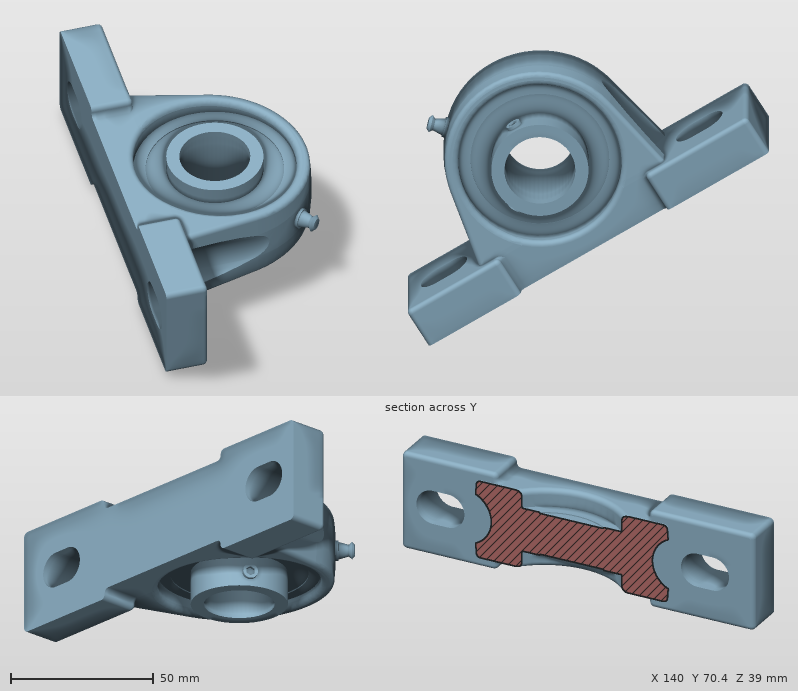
import cadquery as cq
import math

shaft_height = 36.5
total_height = 70.4

base_left = -72.0
base_right = 68.0
base_thickness = 15.1
base_depth = 38.0
pad_inner_x = 30.1
base_corner_radius = 1.8
base_top_fillet = 1.7
slot_spacing = 105.0
slot_length = 19.0
slot_width = 13.0

dome_radius = total_height - shaft_height
flank_half_width = 38.8
housing_foot_depth = 30.4
housing_crown_depth = 23.2
straight_band_depth = 10.5
housing_draft = 4.5
bend_reach = 1.0
rim_fillet = 1.7

scoop_radius = 10.5
scoop_floor_x = 32.0

bore_radius = 12.5
inner_ring_radius = 17.1
inner_ring_top = 14.4
inner_ring_bottom = -20.0
seal_radius = 24.4
seal_recess = 0.4
seat_radius = 28.7
seat_mouth_fillet = 2.0
bearing_half_width = 8.5

screw_radius = 2.7
screw_reach = 18.3
screw_z = -14.8
screw_angles = (90, -30)
socket_width = 3.0
socket_depth = 2.1

nipple_angle = 46
nipple_collar_radius = 3.6
nipple_collar_top = 34.9
nipple_cone_radius = 3.1
nipple_neck_top = 38.5
nipple_neck_radius = 2.1
nipple_head_middle = 39.6
nipple_head_radius = 3.1
nipple_tip = 40.6


def make_base():
    """Base bar with a full-depth pad at each end and a narrower middle."""
    half_pad = base_depth / 2
    half_neck = housing_foot_depth / 2
    upper = [
        (base_right, half_pad),
        (pad_inner_x, half_pad),
        (pad_inner_x, half_neck),
        (-pad_inner_x, half_neck),
        (-pad_inner_x, half_pad),
        (base_left, half_pad),
    ]
    lower = [(x, -z) for x, z in reversed(upper)]
    bar = cq.Workplane("XZ").polyline(upper + lower).close().extrude(-base_thickness)
    bar = bar.edges("|Y").fillet(base_corner_radius)
    return bar.faces(">Y").edges().fillet(base_top_fillet)


def make_housing():
    """Domed housing with leaning flanks and faces, without the bearing seat."""
    drop = shaft_height - base_thickness
    reach = math.hypot(flank_half_width, drop)
    lean = math.acos(dome_radius / reach) - math.atan2(drop, flank_half_width)
    tangent_x = dome_radius * math.cos(lean)
    tangent_y = shaft_height + dome_radius * math.sin(lean)
    foot_y = -base_depth / 2 * math.tan(math.radians(housing_draft))
    foot_x = tangent_x + (tangent_y - foot_y) * math.tan(lean)

    def half_body(direction):
        def outline(z):
            return (
                cq.Workplane("XY", origin=(0, 0, z))
                .moveTo(-foot_x, foot_y)
                .lineTo(foot_x, foot_y)
                .lineTo(tangent_x, tangent_y)
                .threePointArc((0, total_height), (-tangent_x, tangent_y))
                .close()
            )

        band = straight_band_depth / 2
        straight = outline(0).extrude(direction * band)
        drafted = outline(direction * band).extrude(direction * base_depth / 2, taper=housing_draft)
        return straight.union(drafted)

    body = half_body(1).union(half_body(-1))
    half_foot = housing_foot_depth / 2
    half_crown = housing_crown_depth / 2
    slope = math.atan2(half_foot - half_crown, total_height - base_thickness)
    bend_start_y = base_thickness - bend_reach
    bend_end_y = base_thickness + bend_reach * math.cos(slope)
    bend_end_z = half_foot - bend_reach * math.sin(slope)
    wedge = (
        cq.Workplane("YZ")
        .moveTo(0, half_foot)
        .lineTo(bend_start_y, half_foot)
        .tangentArcPoint((bend_end_y, bend_end_z), relative=False)
        .lineTo(total_height, half_crown)
        .lineTo(total_height, 0)
        .lineTo(0, 0)
        .close()
        .extrude(foot_x, both=True)
    )
    body = body.intersect(wedge.union(wedge.mirror("XY")))

    rim_z = half_crown - rim_fillet
    above = cq.selectors.BoxSelector((-foot_x, 1.4, rim_z), (foot_x, total_height, base_depth))
    below = cq.selectors.BoxSelector((-foot_x, 1.4, -base_depth), (foot_x, total_height, -rim_z))
    return body.edges(above + below).edges("not |X").fillet(rim_fillet)


def make_scoop(side):
    """Upright round cutter that hollows one flank above the base."""
    axis_x = side * (scoop_floor_x + scoop_radius)
    return (
        cq.Workplane("XZ", origin=(axis_x, base_thickness, 0))
        .circle(scoop_radius)
        .extrude(-total_height)
    )


def make_slot(side):
    return (
        cq.Workplane("XZ", origin=(side * slot_spacing / 2, 0, 0))
        .slot2D(slot_length, slot_width)
        .extrude(-base_thickness)
    )


def revolve_about_shaft(profile):
    """Revolve (radius, z) points about the shaft axis."""
    return (
        cq.Workplane("XZ", origin=(0, shaft_height, 0))
        .polyline(profile)
        .close()
        .revolve(360, (0, 0, 0), (0, 1, 0))
    )


def make_seat_recess(side):
    """Open seat between one face of the bearing and the outside of the housing."""
    return revolve_about_shaft(
        [
            (0, side * bearing_half_width),
            (seat_radius, side * bearing_half_width),
            (seat_radius, side * base_depth / 2),
            (0, side * base_depth / 2),
        ]
    )


def round_seat_mouth(body, side):
    """Round the mouth of one seat, all around where it breaks out of the housing face."""
    clearance = 0.1
    reach = seat_radius + clearance
    mouth = cq.selectors.BoxSelector(
        (-reach, shaft_height - reach, side * (bearing_half_width + clearance)),
        (reach, shaft_height + reach, side * base_depth / 2),
        boundingbox=True,
    )
    return body.edges(mouth).edges("not |Z").fillet(seat_mouth_fillet)


def make_seal_recess(side):
    floor_z = side * (bearing_half_width - seal_recess)
    face_z = side * bearing_half_width
    return revolve_about_shaft(
        [
            (inner_ring_radius, floor_z),
            (seal_radius, floor_z),
            (seal_radius, face_z),
            (inner_ring_radius, face_z),
        ]
    )


def make_inner_ring():
    return revolve_about_shaft(
        [
            (0, inner_ring_bottom),
            (inner_ring_radius, inner_ring_bottom),
            (inner_ring_radius, inner_ring_top),
            (0, inner_ring_top),
        ]
    )


def make_bore():
    return (
        cq.Workplane("XY", origin=(0, shaft_height, -base_depth))
        .circle(bore_radius)
        .extrude(2 * base_depth)
    )


def make_set_screw(angle):
    """Set screw lying on a radius of the shaft, with a hexagon socket in its outer end."""
    radial = cq.Vector(math.cos(math.radians(angle)), math.sin(math.radians(angle)), 0)
    centre = cq.Vector(0, shaft_height, screw_z)
    across_corners = socket_width / math.cos(math.radians(30))

    def on_radius(radius):
        return cq.Workplane(cq.Plane(centre + radial * radius, (0, 0, 1), radial))

    shank = on_radius(bore_radius).circle(screw_radius).extrude(screw_reach - bore_radius)
    socket = on_radius(screw_reach).polygon(6, across_corners).extrude(-socket_depth)
    return shank.cut(socket)


def make_nipple():
    """Grease nipple: collar, cone and double-cone head on a radius of the dome."""
    profile = [
        (seat_radius, 0),
        (seat_radius, nipple_collar_radius),
        (nipple_collar_top, nipple_collar_radius),
        (nipple_collar_top, nipple_cone_radius),
        (nipple_neck_top, nipple_neck_radius),
        (nipple_head_middle, nipple_head_radius),
        (nipple_tip, nipple_neck_radius),
        (nipple_tip, 0),
    ]
    nipple = cq.Workplane("XY").polyline(profile).close().revolve(360, (0, 0, 0), (1, 0, 0))
    return nipple.rotate((0, 0, 0), (0, 0, 1), nipple_angle).translate((0, shaft_height, 0))


sides = (1, -1)
block = make_housing()
for side in sides:
    block = block.cut(make_scoop(side))

block = block.union(make_base())
for side in sides:
    block = block.cut(make_slot(side))
    block = block.cut(make_seat_recess(side))
    block = round_seat_mouth(block, side)
    block = block.cut(make_seal_recess(side))

block = block.union(make_inner_ring())
block = block.cut(make_bore())
for angle in screw_angles:
    block = block.union(make_set_screw(angle))

result = block.union(make_nipple())